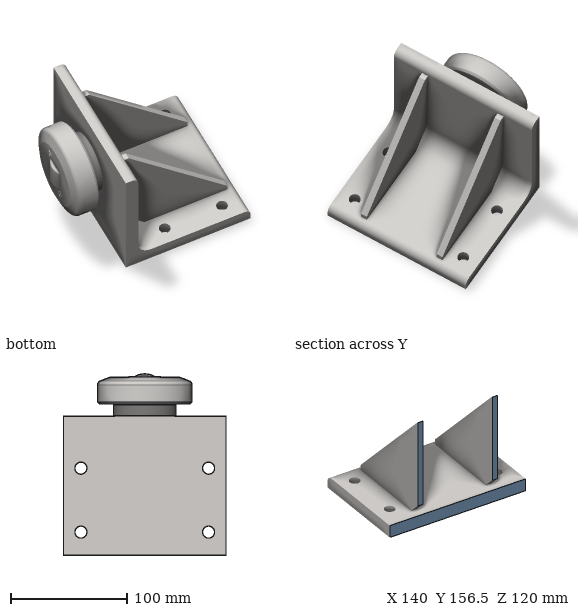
import cadquery as cq
import math

bracket_width = 140.0
leg_length = 120.0
leg_thickness = 12.0
inner_radius = 13.0
toe_radius = 6.5

rib_thickness = 6.0
rib_spacing = 76.7
rib_setback = 8.1
rib_land = 5.0
rib_relief = 20.0

hole_diameter = 10.2
hole_spacing_x = 110.0
hole_spacing_y = 55.1
hole_end_distance = 20.0

knob_height = 70.0
spigot_diameter = 54.0
spigot_end_diameter = 52.0
spigot_length = 10.3
spigot_chamfer_length = 0.6
knob_diameter = 81.7
knob_face_diameter = 60.1
knob_face_offset = 33.5
knob_back_chamfer = 1.9
rim_radius = 4.0
bevel_angle = math.radians(21)
knob_overlap = 1.5

overall_depth = 156.5
lug_width = 18.6
lug_height = 24.1
lug_edge_radius = 1.5
lug_embed = 4.7
screw_diameter = 7.8
screw_socket_diameter = 2.5
screw_socket_depth = 1.0
screw_protrusion = 0.5
screw_embed = 1.0
screw_circle_radius = 19.9
screw_angles = (119, 299)


def make_bracket():
    """L section with rounded toes and a rounded inner corner."""
    profile = (
        cq.Workplane("YZ")
        .polyline([
            (0, 0),
            (leg_length, 0),
            (leg_length, leg_thickness),
            (leg_thickness, leg_thickness),
            (leg_thickness, leg_length),
            (0, leg_length),
        ])
        .close()
        .extrude(bracket_width / 2, both=True)
    )

    def edge_at(y, z):
        return cq.selectors.NearestToPointSelector((0, y, z))

    inner = profile.edges("|X").edges(edge_at(leg_thickness, leg_thickness)).fillet(inner_radius)
    base_toe = inner.edges("|X").edges(edge_at(leg_length, leg_thickness)).fillet(toe_radius)
    return base_toe.edges("|X").edges(edge_at(leg_thickness, leg_length)).fillet(toe_radius)


def make_rib(x):
    """Triangular web with blunt tips and a clipped inner corner."""
    inside = leg_thickness
    relief_end = inside + rib_relief
    tip = leg_length - rib_setback
    land_end = inside + rib_land
    return (
        cq.Workplane("YZ", origin=(x, 0, 0))
        .polyline([
            (relief_end, inside),
            (tip, inside),
            (tip, land_end),
            (land_end, tip),
            (inside, tip),
            (inside, relief_end),
        ])
        .close()
        .extrude(rib_thickness / 2, both=True)
    )


def make_mounting_holes():
    hole_centre_y = leg_length - hole_end_distance - hole_spacing_y / 2
    return (
        cq.Workplane("XY")
        .center(0, hole_centre_y)
        .rarray(hole_spacing_x, hole_spacing_y, 2, 2)
        .circle(hole_diameter / 2)
        .extrude(leg_thickness)
    )


def make_knob():
    """Spigot and bevelled disc, revolved about the knob axis."""
    spigot_radius = spigot_diameter / 2
    spigot_end_radius = spigot_end_diameter / 2
    radius = knob_diameter / 2
    face_radius = knob_face_diameter / 2

    arc_sweep = math.pi / 2 - bevel_angle
    rim_centre_radius = radius - rim_radius
    bevel_radius = rim_centre_radius + rim_radius * math.cos(arc_sweep)
    bevel_depth = (bevel_radius - face_radius) * math.tan(bevel_angle)
    bevel_start = knob_face_offset - bevel_depth
    rim_start = bevel_start - rim_radius * math.sin(arc_sweep)
    rim_mid = (
        rim_centre_radius + rim_radius * math.cos(arc_sweep / 2),
        -rim_start - rim_radius * math.sin(arc_sweep / 2),
    )
    return (
        cq.Workplane("XY", origin=(0, 0, knob_height))
        .moveTo(0, knob_overlap)
        .lineTo(spigot_end_radius, knob_overlap)
        .lineTo(spigot_end_radius, 0)
        .lineTo(spigot_radius, -spigot_chamfer_length)
        .lineTo(spigot_radius, spigot_chamfer_length - spigot_length)
        .lineTo(spigot_end_radius, -spigot_length)
        .lineTo(radius - knob_back_chamfer, -spigot_length)
        .lineTo(radius, -spigot_length - knob_back_chamfer)
        .lineTo(radius, -rim_start)
        .threePointArc(rim_mid, (bevel_radius, -bevel_start))
        .lineTo(face_radius, -knob_face_offset)
        .lineTo(0, -knob_face_offset)
        .close()
        .revolve(360, (0, 0, 0), (0, 1, 0))
    )


def make_lug():
    """Rectangular lug with a cylindrical crown and rounded upper and lower edges."""
    half_width = lug_width / 2
    tip = overall_depth - leg_length
    embedded_end = lug_embed - knob_face_offset
    return (
        cq.Workplane("XY", origin=(0, 0, knob_height))
        .moveTo(-half_width, embedded_end)
        .lineTo(-half_width, -knob_face_offset)
        .threePointArc((0, -tip), (half_width, -knob_face_offset))
        .lineTo(half_width, embedded_end)
        .close()
        .extrude(lug_height / 2, both=True)
        .edges("%CIRCLE")
        .fillet(lug_edge_radius)
    )


def knob_face_cylinder(angle, diameter, inner_depth):
    """Cylinder at a screw position, from inside the knob to the screw head face."""
    x = screw_circle_radius * math.cos(math.radians(angle))
    z = knob_height + screw_circle_radius * math.sin(math.radians(angle))
    head_face = -knob_face_offset - screw_protrusion
    return (
        cq.Workplane("XZ", origin=(x, head_face, z))
        .circle(diameter / 2)
        .extrude(-inner_depth)
    )


result = make_bracket()
for side in (-1, 1):
    result = result.union(make_rib(side * rib_spacing / 2))
result = result.cut(make_mounting_holes())
result = result.union(make_knob()).union(make_lug())
for angle in screw_angles:
    result = result.union(knob_face_cylinder(angle, screw_diameter, screw_embed))
    result = result.cut(knob_face_cylinder(angle, screw_socket_diameter, screw_socket_depth))